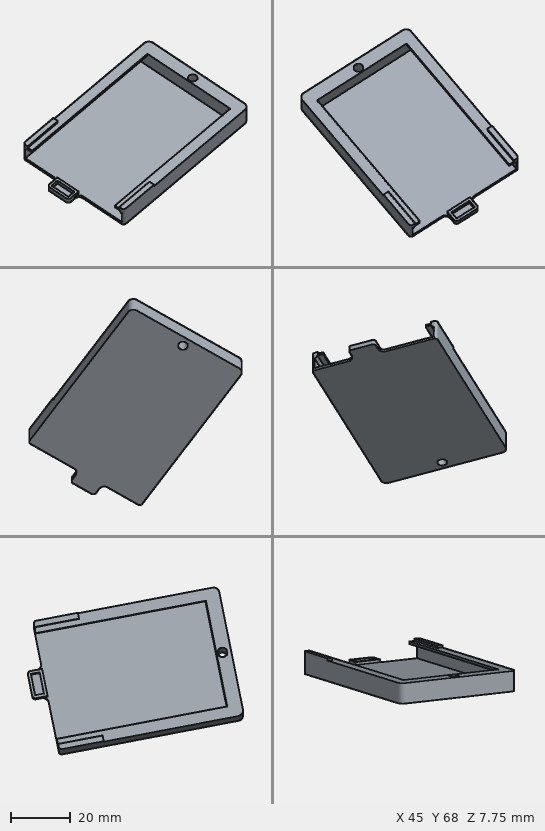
import cadquery as cq

width = 45.0
overall_length = 68.0
tab_length = 5.0
body_length = overall_length - tab_length
body_height = 7.0
rail_height = 0.75
wall = 1.0
floor_thickness = 1.0
back_block = 4.95
back_corner_radius = 2.05
front_corner_radius = 1.0

lip_reach = 4.0
lip_thickness = 0.9
lip_brace = 1.0

rail_width = 2.05
rail_length = 15.15

hole_diameter = 3.2
hole_inset = 3.0

tab_width = 9.5
tab_height = 2.0
tab_offset = -2.5
tab_wall = 1.0
tab_corner_radius = 1.0
tab_blend_radius = 2.0
tab_pocket_depth = 1.5

body_top = body_height + rail_height
lip_underside = body_height - lip_thickness


def make_outer_block():
    """Rounded block up to the rail tops, cut down everywhere except at the two rails."""
    block = (
        cq.Workplane("XY")
        .box(width, body_length, body_top, centered=(True, False, False))
        .edges("|Z and >Y").fillet(back_corner_radius)
        .edges("|Z and <Y").fillet(front_corner_radius)
    )
    between_rails = (
        cq.Workplane("XY", origin=(0, 0, body_height))
        .box(width - 2 * rail_width, body_length, rail_height, centered=(True, False, False))
    )
    behind_rails = (
        cq.Workplane("XY", origin=(0, rail_length, body_height))
        .box(width, body_length - rail_length, rail_height, centered=(True, False, False))
    )
    return block.cut(between_rails).cut(behind_rails)


def make_cavity():
    """Card space, open at the front and narrowed at the top by the braced lips."""
    half_cavity = width / 2 - wall
    half_opening = width / 2 - lip_reach
    return (
        cq.Workplane("XZ")
        .moveTo(-half_cavity, floor_thickness)
        .lineTo(half_cavity, floor_thickness)
        .lineTo(half_cavity, lip_underside - lip_brace)
        .lineTo(half_cavity - lip_brace, lip_underside)
        .lineTo(half_opening, lip_underside)
        .lineTo(half_opening, body_height)
        .lineTo(-half_opening, body_height)
        .lineTo(-half_opening, lip_underside)
        .lineTo(-half_cavity + lip_brace, lip_underside)
        .lineTo(-half_cavity, lip_underside - lip_brace)
        .close()
        .extrude(-(body_length - back_block))
    )


def make_lanyard_hole():
    return (
        cq.Workplane("XY")
        .center(0, body_length - hole_inset)
        .circle(hole_diameter / 2)
        .extrude(body_height)
    )


def make_tab():
    """Pull tab with rounded front corners and a rectangular pocket in its top."""
    tab = (
        cq.Workplane("XY")
        .center(tab_offset, -tab_length / 2)
        .rect(tab_width, tab_length)
        .extrude(tab_height)
        .edges("|Z and <Y").fillet(tab_corner_radius)
    )
    return (
        tab.faces(">Z").workplane(origin=(tab_offset, -tab_length / 2, tab_height))
        .rect(tab_width - 2 * tab_wall, tab_length - 2 * tab_wall)
        .cutBlind(-tab_pocket_depth)
    )


def make_tab_blend(side):
    """Concave corner between the floor edge and one side of the tab (side is -1 or 1)."""
    corner_x = tab_offset + side * tab_width / 2
    outer_x = corner_x + side * tab_blend_radius
    square = (
        cq.Workplane("XY")
        .center((corner_x + outer_x) / 2, -tab_blend_radius / 2)
        .rect(tab_blend_radius, tab_blend_radius)
        .extrude(floor_thickness)
    )
    hollow = (
        cq.Workplane("XY")
        .center(outer_x, -tab_blend_radius)
        .circle(tab_blend_radius)
        .extrude(floor_thickness)
    )
    return square.cut(hollow)


result = make_outer_block().cut(make_cavity()).cut(make_lanyard_hole()).union(make_tab())
for side in (-1, 1):
    result = result.union(make_tab_blend(side))